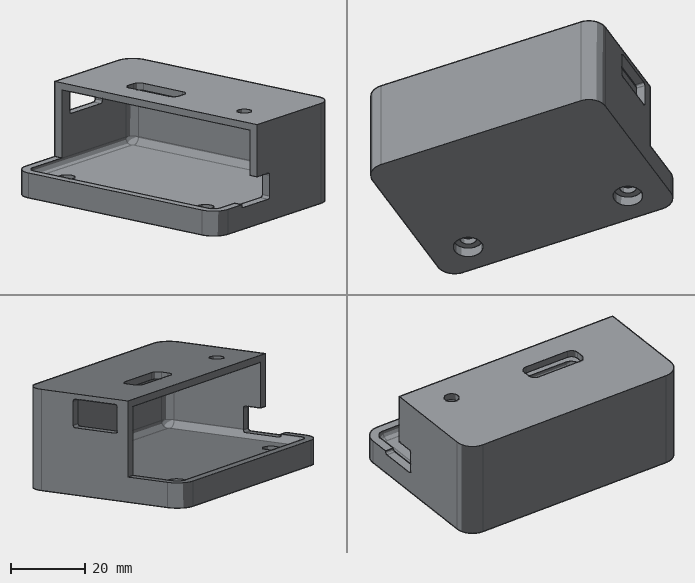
import cadquery as cq

length = 70.0
depth = 50.0
height = 28.0
corner_radius = 5.0

wall = 2.5
floor_thickness = 5.0
roof_thickness = 1.95
floor_fillet = 1.95

ledge_depth = 17.5
ledge_height = 7.0

floor_hole_diameter = 4.6
floor_hole_inset = 11.0
floor_hole_y = 8.9
counterbore_diameter = 8.0
counterbore_depth = 3.0

roof_slot_length = 17.4
roof_slot_width = 6.0
roof_slot_radius = 1.95
roof_slot_center = (26.75, 27.9)
roof_hole_diameter = 4.0
roof_hole_center = (58.7, 26.05)

side_opening_radius = 0.7
side_cut_depth = wall + floor_fillet
left_opening_size = (14.0, 7.9)
left_opening_start = (20.9, 18.6)
right_opening_size = (12.0, 7.3)
right_opening_start = (11.0, 6.1)


def box_at(x, y, z, size_x, size_y, size_z):
    """Box placed by its lowest corner."""
    return cq.Workplane("XY").box(size_x, size_y, size_z, centered=False).translate((x, y, z))


def upright_cylinder(center, diameter, bottom, top):
    return (
        cq.Workplane("XY", origin=(*center, bottom))
        .circle(diameter / 2)
        .extrude(top - bottom)
    )


def side_opening(x, start, size):
    """Rounded cutter along X, placed by its lowest corner."""
    y, z = start
    width, opening_height = size
    cutter = box_at(x, y, z, side_cut_depth, width, opening_height)
    return cutter.edges("|X").fillet(side_opening_radius)


body = box_at(0, 0, 0, length, depth, height).edges("|Z").fillet(corner_radius)

cavity_height = height - floor_thickness - roof_thickness
cavity = box_at(wall, wall, floor_thickness, length - 2 * wall, depth - 2 * wall, cavity_height)
cavity = cavity.edges("|Z").fillet(corner_radius - wall)
cavity = cavity.faces("<Z").edges().fillet(floor_fillet)
body = body.cut(cavity)

body = body.cut(box_at(0, 0, ledge_height, length, ledge_depth, height - ledge_height))

for hole_x in (floor_hole_inset, length - floor_hole_inset):
    hole_center = (hole_x, floor_hole_y)
    body = body.cut(upright_cylinder(hole_center, floor_hole_diameter, 0, floor_thickness))
    body = body.cut(upright_cylinder(hole_center, counterbore_diameter, 0, counterbore_depth))

roof_bottom = height - roof_thickness
slot_x, slot_y = roof_slot_center
roof_slot = box_at(
    slot_x - roof_slot_length / 2,
    slot_y - roof_slot_width / 2,
    roof_bottom,
    roof_slot_length,
    roof_slot_width,
    roof_thickness,
)
body = body.cut(roof_slot.edges("|Z").fillet(roof_slot_radius))
body = body.cut(upright_cylinder(roof_hole_center, roof_hole_diameter, roof_bottom, height))

body = body.cut(side_opening(wall - side_cut_depth, left_opening_start, left_opening_size))
body = body.cut(side_opening(length - side_cut_depth, right_opening_start, right_opening_size))

result = body